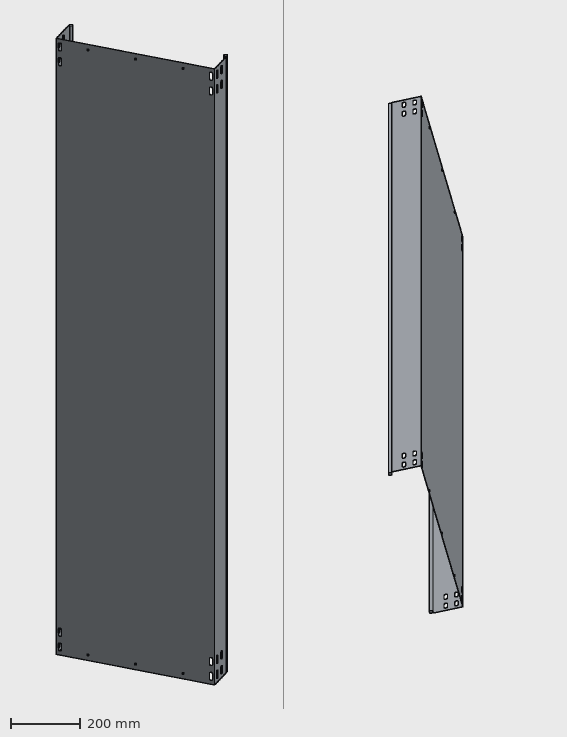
import cadquery as cq

width = 500.0
depth = 100.0
height = 2000.0

sheet = 1.5

bead_radius = 5.5
bead_inset = 6.5
lip_inset = 10.0
lip_bend_radius = 5.0

edge_hole_diameter = 5.0
edge_hole_spacing = 150.0
edge_hole_end_inset = 18.0

slot_length = 25.0
slot_width = 10.0
slot_end_insets = (25.0, 75.0)
front_slot_side_inset = 12.0
side_slot_front_insets = (20.0, 52.0)

half_width = width / 2
half_depth = depth / 2
half_height = height / 2


def base_plane():
    """Workplane on the bottom end of the panel."""
    return cq.Workplane("XY", origin=(0, 0, -half_height))


def channel_block(inset):
    """Full-height block inside the folded sheet's outer surface, smaller by the inset all round."""
    front = -half_depth + inset
    rear = half_depth - lip_inset - inset
    return (
        base_plane()
        .center(0, (front + rear) / 2)
        .rect(width - 2 * inset, rear - front)
        .extrude(height)
        .edges("|Z and >Y")
        .fillet(lip_bend_radius - inset)
    )


def channel():
    """Front face, side flanges and their inward-bent rear lips, all of one sheet."""
    rear_opening = (
        base_plane()
        .center(0, half_depth)
        .rect(width - 2 * bead_inset, depth)
        .extrude(height)
    )
    return channel_block(0).cut(channel_block(sheet)).cut(rear_opening)


def beads():
    """Round beads along the rear edges of both lips."""
    bead_x = half_width - bead_inset
    bead_y = half_depth - bead_radius
    return (
        base_plane()
        .pushPoints([(-bead_x, bead_y), (bead_x, bead_y)])
        .circle(bead_radius)
        .extrude(height)
    )


def slot_heights():
    """Heights of the slot centres at both ends of the panel."""
    return [end * (half_height - inset) for end in (-1, 1) for inset in slot_end_insets]


def edge_holes():
    """Round hole cutters through the front face."""
    hole_z = half_height - edge_hole_end_inset
    points = [(column * edge_hole_spacing, end * hole_z) for column in (-1, 0, 1) for end in (-1, 1)]
    return cq.Workplane("XZ").pushPoints(points).circle(edge_hole_diameter / 2).extrude(depth)


def front_slots():
    """Upright slot cutters through the front face, close to its sides."""
    slot_x = half_width - front_slot_side_inset
    points = [(side * slot_x, z) for side in (-1, 1) for z in slot_heights()]
    return cq.Workplane("XZ").pushPoints(points).slot2D(slot_length, slot_width, 90).extrude(depth)


def side_slots():
    """Upright slot cutters passing through both side flanges."""
    points = [(inset - half_depth, z) for inset in side_slot_front_insets for z in slot_heights()]
    return (
        cq.Workplane("YZ")
        .pushPoints(points)
        .slot2D(slot_length, slot_width, 90)
        .extrude(width, both=True)
    )


result = channel().union(beads()).cut(edge_holes()).cut(front_slots()).cut(side_slots())